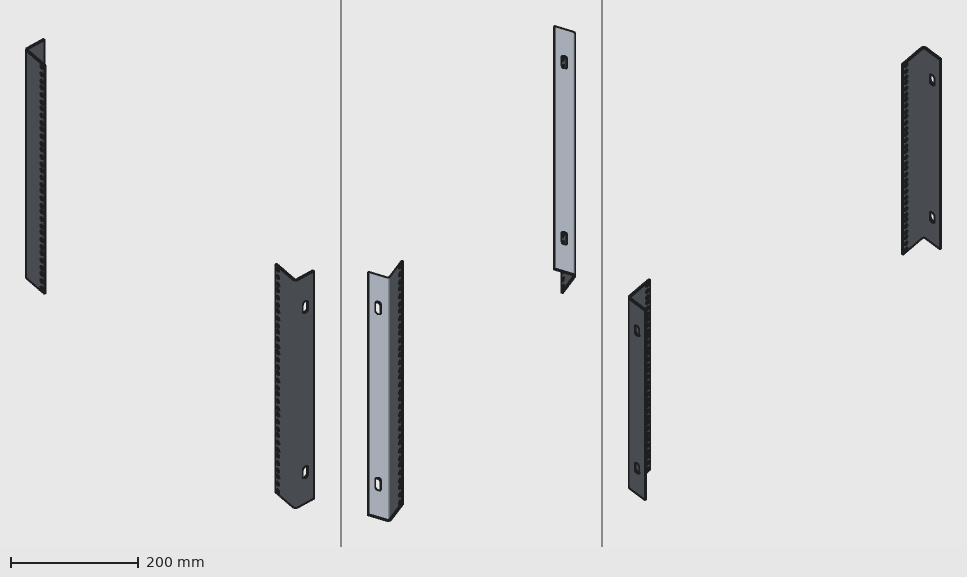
import cadquery as cq

OVERALL_WIDTH = 679.5
RAIL_HEIGHT = 489.0
RAIL_GAP = 579.5
FRONT_FLANGE = (OVERALL_WIDTH - RAIL_GAP) / 2
SIDE_FLANGE = 38.0

THICKNESS = 3.0
BEND_OUTER_RADIUS = 5.8
BEND_INNER_RADIUS = BEND_OUTER_RADIUS - THICKNESS

RACK_UNITS = 11
UNIT_HEIGHT = RAIL_HEIGHT / RACK_UNITS
UNIT_HOLE_FRACTIONS = (1 / 7, 1 / 2, 6 / 7)
HOLE_RADIUS = 3.6
HOLE_EDGE_DISTANCE = 6.45

SLOT_WIDTH = 10.0
SLOT_LENGTH = 25.0
SLOT_SPACING = 355.5
SLOT_EDGE_DISTANCE = 17.0


def rail_blank():
    """L-section with its outer corner at the origin, bent along Z and centred in height."""
    section = (
        cq.Workplane("XY")
        .polyline([
            (0, 0),
            (FRONT_FLANGE, 0),
            (FRONT_FLANGE, THICKNESS),
            (THICKNESS, THICKNESS),
            (THICKNESS, SIDE_FLANGE),
            (0, SIDE_FLANGE),
        ])
        .close()
    )
    bar = section.extrude(RAIL_HEIGHT).translate((0, 0, -RAIL_HEIGHT / 2))
    outer_corner = cq.NearestToPointSelector((0, 0, 0))
    inner_corner = cq.NearestToPointSelector((THICKNESS, THICKNESS, 0))
    bar = bar.edges("|Z").edges(outer_corner).fillet(BEND_OUTER_RADIUS)
    return bar.edges("|Z").edges(inner_corner).fillet(BEND_INNER_RADIUS)


def mounting_holes():
    """Cutters for the column of holes through the front flange."""
    x = FRONT_FLANGE - HOLE_EDGE_DISTANCE
    centres = [
        (x, (unit + fraction) * UNIT_HEIGHT - RAIL_HEIGHT / 2)
        for unit in range(RACK_UNITS)
        for fraction in UNIT_HOLE_FRACTIONS
    ]
    return cq.Workplane("XZ").pushPoints(centres).circle(HOLE_RADIUS).extrude(-THICKNESS)


def side_slots():
    """Cutters for the two upright slots through the side flange."""
    y = SIDE_FLANGE - SLOT_EDGE_DISTANCE
    centres = [(y, -SLOT_SPACING / 2), (y, SLOT_SPACING / 2)]
    return cq.Workplane("YZ").pushPoints(centres).slot2D(SLOT_LENGTH, SLOT_WIDTH, 90).extrude(THICKNESS)


def left_rail():
    rail = rail_blank().cut(mounting_holes()).cut(side_slots())
    return rail.translate((-OVERALL_WIDTH / 2, 0, 0))


rails = [left_rail(), left_rail().mirror("YZ")]

result = cq.Compound.makeCompound([rail.val() for rail in rails])